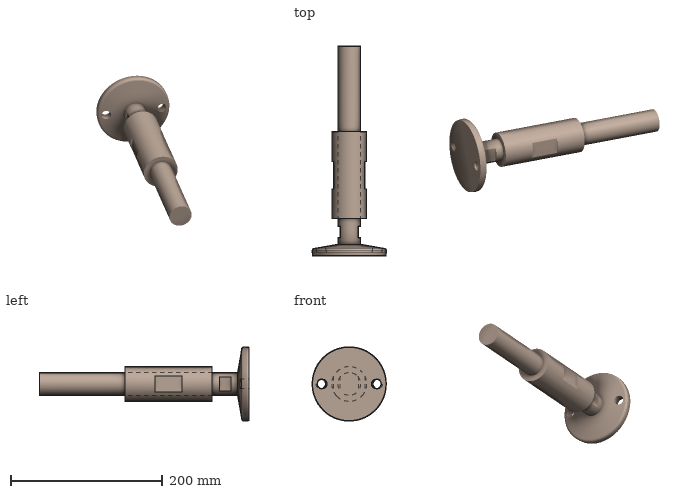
import cadquery as cq
import math


FOOT_DIAMETER = 98.0
FOOT_SOLE_DIAMETER = 97.0
FOOT_HEIGHT = 15.0
FOOT_TOP_DIAMETER = 32.0
CONE_ANGLE = 9.8
SOLE_TAPER_HEIGHT = 4.2
RIM_ROUNDING = 3.0

FIXING_HOLE_DIAMETER = 12.5
FIXING_HOLE_SPACING = 71.4

SPINDLE_DIAMETER = 30.0
SPINDLE_END = 277.0
SPINDLE_FLATS_WIDTH = 24.0
SPINDLE_FLATS_START = 24.0
SPINDLE_FLATS_LENGTH = 15.0

SLEEVE_DIAMETER = 46.0
SLEEVE_START = 49.0
SLEEVE_LENGTH = 115.0
SLEEVE_FLATS_WIDTH = 41.0
SLEEVE_FLATS_LENGTH = 36.0


def rod(diameter, start, length):
    """Round bar along +Y."""
    axis = cq.Vector(0, 1, 0)
    return cq.Workplane(cq.Solid.makeCylinder(diameter / 2, length, cq.Vector(0, start, 0), axis))


def cut_flats(bar, diameter, width, start, length):
    """Mill two opposite wrench flats, square to X, leaving the given width."""
    for side in (-1, 1):
        cutter = cq.Workplane().box(diameter, length, diameter)
        bar = bar.cut(cutter.translate((side * (width + diameter) / 2, start + length / 2, 0)))
    return bar


def make_foot_plate():
    """Disc with a slightly tapered sole edge, a rounded rim and a shallow cone on top."""
    tilt = math.radians(CONE_ANGLE)
    radius = FOOT_DIAMETER / 2
    top_radius = FOOT_TOP_DIAMETER / 2
    shoulder = FOOT_HEIGHT - (radius - top_radius) * math.tan(tilt)
    half_profile = [
        (0, 0),
        (FOOT_SOLE_DIAMETER / 2, 0),
        (radius, SOLE_TAPER_HEIGHT),
        (radius, shoulder),
        (top_radius, FOOT_HEIGHT),
        (0, FOOT_HEIGHT),
    ]
    plate = cq.Workplane("XY").polyline(half_profile).close().revolve(360, (0, 0, 0), (0, 1, 0))

    rim_edges = [
        edge
        for edge in plate.edges("%CIRCLE").vals()
        if math.isclose(edge.Center().y, shoulder, abs_tol=1e-6)
    ]
    plate = plate.newObject(rim_edges).fillet(RIM_ROUNDING)

    for side in (-1, 1):
        axis = cq.Vector(side * math.sin(tilt), math.cos(tilt), 0)
        sole_centre = cq.Vector(side * FIXING_HOLE_SPACING / 2, 0, 0)
        drill_start = sole_centre - axis * FOOT_HEIGHT
        drill = cq.Solid.makeCylinder(FIXING_HOLE_DIAMETER / 2, 3 * FOOT_HEIGHT, drill_start, axis)
        plate = plate.cut(cq.Workplane(drill))
    return plate


def make_foot():
    """Foot plate and spindle in one piece."""
    spindle = rod(SPINDLE_DIAMETER, FOOT_HEIGHT, SPINDLE_END - FOOT_HEIGHT)
    spindle = cut_flats(
        spindle, SPINDLE_DIAMETER, SPINDLE_FLATS_WIDTH, SPINDLE_FLATS_START, SPINDLE_FLATS_LENGTH
    )
    return make_foot_plate().union(spindle)


def make_sleeve():
    """Outer sleeve, bored through to fit the spindle."""
    sleeve = rod(SLEEVE_DIAMETER, SLEEVE_START, SLEEVE_LENGTH)
    flats_start = SLEEVE_START + (SLEEVE_LENGTH - SLEEVE_FLATS_LENGTH) / 2
    sleeve = cut_flats(sleeve, SLEEVE_DIAMETER, SLEEVE_FLATS_WIDTH, flats_start, SLEEVE_FLATS_LENGTH)
    return sleeve.cut(rod(SPINDLE_DIAMETER, SLEEVE_START, SLEEVE_LENGTH))


foot = make_foot()
sleeve = make_sleeve()

result = cq.Compound.makeCompound([foot.val(), sleeve.val()])